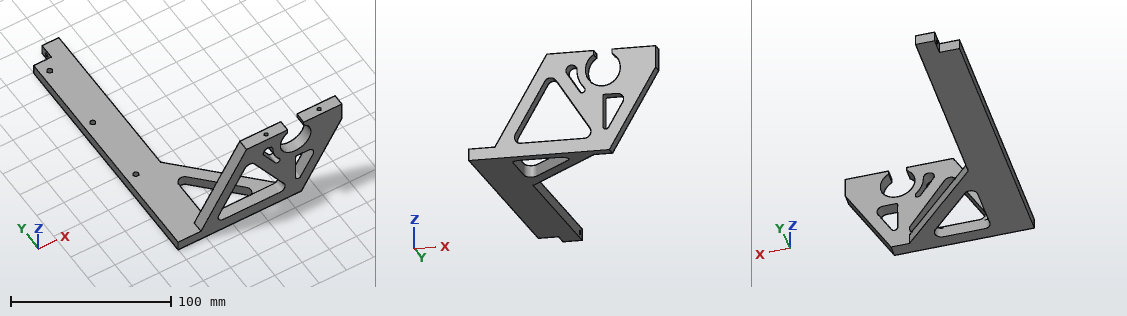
import cadquery as cq
import math

total_length = 180.98
total_height = 65.5
total_width = 120.38
base_thickness = 7.5
plate_thickness = 8.0

arm_width = 25.4
end_notch_width = 13.0
end_notch_length = 11.0
arm_hole_diameter = 3.6
arm_hole_first = (7.1, 61.0)
arm_hole_pitch = 50.0
arm_hole_lean = 0.4
arm_hole_count = 3
arm_hole_depth = 5.0
cross_hole_diameter = 2.5
cross_hole_end_distance = 5.3

brace_leg = 53.25
brace_width = 8.1
brace_window_radius = 4.3

slant = math.radians(60)
plate_top_start = 50.3
plate_bottom_end = 90.65
rim_width = 7.8

seat_x = 86.4
seat_z = 53.2
seat_radius = 11.2
seat_mouth_width = 11.8

clamp_hole_xs = (67.2, 106.2)
clamp_hole_diameter = 2.5
clamp_hole_depth = 6.0

large_window_bottom = 8.7
large_window_right = 82.15
large_window_slant = math.radians(56.3)
large_window_radius = 4.0

small_window_top = 36.3
small_window_top_left_radius = 1.0
small_window_top_right_radius = 4.0
small_window_bottom_radius = 2.0

teardrop_wall = 5.5
teardrop_gap = 3.4
teardrop_top_radius = 3.5
teardrop_bottom_radius = 1.85


def left_edge_x(z):
    """X of the slanted left edge of the plate at height z."""
    return plate_top_start - (total_height - z) / math.tan(slant)


def right_edge_x(z):
    """X of the slanted right edge of the plate at height z."""
    return plate_bottom_end + z / math.tan(slant)


def through_plate(sketch):
    """Extrude an XZ outline through the thickness of the upright plate."""
    return sketch.extrude(-plate_thickness)


def make_base():
    brace_end_x = arm_width + brace_leg
    brace_end_y = plate_thickness + brace_leg
    outline = [
        (0, 0),
        (brace_end_x, 0),
        (brace_end_x, plate_thickness),
        (arm_width, brace_end_y),
        (arm_width, total_length),
        (end_notch_width, total_length),
        (end_notch_width, total_length - end_notch_length),
        (0, total_length - end_notch_length),
    ]
    return cq.Workplane("XY").polyline(outline).close().extrude(base_thickness)


def make_brace_window():
    leg = brace_leg - brace_width * math.sqrt(2)
    corners = [
        (arm_width, plate_thickness),
        (arm_width + leg, plate_thickness),
        (arm_width, plate_thickness + leg),
    ]
    window = cq.Workplane("XY").polyline(corners).close().extrude(base_thickness)
    return window.edges("|Z").fillet(brace_window_radius)


def make_arm_holes():
    first_x, first_y = arm_hole_first
    centers = [
        (first_x - i * arm_hole_lean, first_y + i * arm_hole_pitch)
        for i in range(arm_hole_count)
    ]
    top = cq.Workplane("XY", origin=(0, 0, base_thickness))
    return top.pushPoints(centers).circle(arm_hole_diameter / 2).extrude(-arm_hole_depth)


def make_cross_hole():
    center = (total_length - cross_hole_end_distance, base_thickness / 2)
    return cq.Workplane("YZ").center(*center).circle(cross_hole_diameter / 2).extrude(arm_width)


def make_plate():
    corner_z = (total_width - plate_bottom_end) * math.tan(slant)
    outline = [
        (left_edge_x(0), 0),
        (plate_bottom_end, 0),
        (total_width, corner_z),
        (total_width, total_height),
        (plate_top_start, total_height),
    ]
    return through_plate(cq.Workplane("XZ").polyline(outline).close())


def make_seat():
    bore = through_plate(cq.Workplane("XZ").center(seat_x, seat_z).circle(seat_radius))
    mouth_height = total_height - seat_z
    mouth_center = (seat_x, seat_z + mouth_height / 2)
    mouth = cq.Workplane("XZ").center(*mouth_center).rect(seat_mouth_width, mouth_height)
    return bore.union(through_plate(mouth))


def make_clamp_holes():
    centers = [(x, plate_thickness / 2) for x in clamp_hole_xs]
    top = cq.Workplane("XY", origin=(0, 0, total_height))
    return top.pushPoints(centers).circle(clamp_hole_diameter / 2).extrude(-clamp_hole_depth)


def make_large_window():
    left = left_edge_x(large_window_bottom) + rim_width / math.sin(slant)
    spread = 1 / math.tan(slant) + 1 / math.tan(large_window_slant)
    rise = (large_window_right - left) / spread
    corners = [
        (left, large_window_bottom),
        (large_window_right, large_window_bottom),
        (left + rise / math.tan(slant), large_window_bottom + rise),
    ]
    window = through_plate(cq.Workplane("XZ").polyline(corners).close())
    return window.edges("|Y").fillet(large_window_radius)


def make_small_window():
    left = seat_x
    right = right_edge_x(small_window_top) - rim_width / math.sin(slant)
    bottom = small_window_top - (right - left) * math.tan(slant)
    corners = [(left, small_window_top), (right, small_window_top), (left, bottom)]
    window = through_plate(cq.Workplane("XZ").polyline(corners).close())
    window = window.edges("|Y and >X").fillet(small_window_top_right_radius)
    window = window.edges("|Y and <Z").fillet(small_window_bottom_radius)
    return window.edges("|Y and <X and >Z").fillet(small_window_top_left_radius)


def make_teardrop_window():
    """Gap between a straight side and an arc around the seat, closed by a round at each end."""
    arc_radius = seat_radius + teardrop_wall
    side_distance = arc_radius + teardrop_gap
    along = (-math.cos(large_window_slant), math.sin(large_window_slant))
    outward = (-math.sin(large_window_slant), -math.cos(large_window_slant))

    def point(distance_out, distance_up):
        return (
            seat_x + distance_out * outward[0] + distance_up * along[0],
            seat_z + distance_out * outward[1] + distance_up * along[1],
        )

    def end_round(radius, direction):
        """Side tangent point, far point and arc tangent point of an end round."""
        out = side_distance - radius
        up = direction * math.sqrt((arc_radius + radius) ** 2 - out**2)
        ratio = arc_radius / (arc_radius + radius)
        return point(side_distance, up), point(out, up + direction * radius), point(out * ratio, up * ratio)

    top_side, top_far, top_arc = end_round(teardrop_top_radius, 1)
    bottom_side, bottom_far, bottom_arc = end_round(teardrop_bottom_radius, -1)
    outline = (
        cq.Workplane("XZ")
        .moveTo(*bottom_side)
        .lineTo(*top_side)
        .threePointArc(top_far, top_arc)
        .threePointArc(point(arc_radius, 0), bottom_arc)
        .threePointArc(bottom_far, bottom_side)
        .close()
    )
    return through_plate(outline)


base = make_base().cut(make_brace_window()).cut(make_arm_holes()).cut(make_cross_hole())
result = base.union(make_plate())
plate_cuts = (make_seat, make_clamp_holes, make_large_window, make_small_window, make_teardrop_window)
for make_cut in plate_cuts:
    result = result.cut(make_cut())